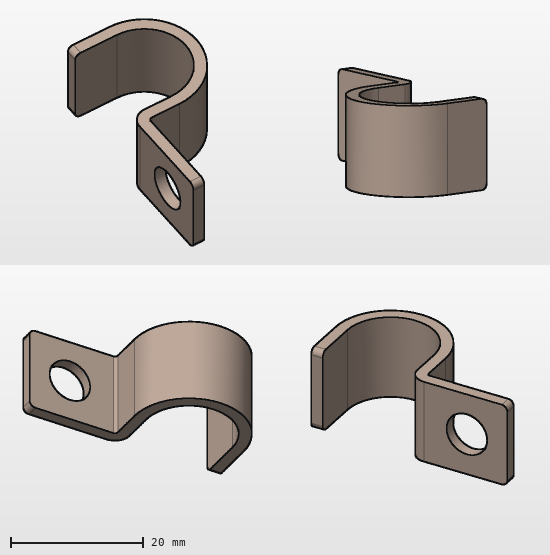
import cadquery as cq

total_length = 34.0
total_depth = 17.0
strip_width = 14.0
thickness = 2.0
arch_outer_radius = 9.5
bend_inner_radius = 0.5
corner_radius = 1.0
hole_diameter = 7.0
hole_to_flange_end = 7.0

arch_inner_radius = arch_outer_radius - thickness
bend_outer_radius = bend_inner_radius + thickness
flange_face_y = arch_outer_radius - total_depth
flange_back_y = flange_face_y + thickness
flange_end_x = total_length - arch_outer_radius
bend_center_x = arch_outer_radius + bend_inner_radius
bend_center_y = flange_back_y + bend_inner_radius
hole_x = flange_end_x - hole_to_flange_end


def bent_strip():
    """Hook-shaped strip: free leg, half-round arch, leg, bend and flange."""
    profile = (
        cq.Workplane("XY")
        .moveTo(-arch_outer_radius, flange_face_y)
        .lineTo(-arch_outer_radius, 0)
        .threePointArc((0, arch_outer_radius), (arch_outer_radius, 0))
        .lineTo(arch_outer_radius, bend_center_y)
        .radiusArc((bend_center_x, flange_back_y), -bend_inner_radius)
        .lineTo(flange_end_x, flange_back_y)
        .lineTo(flange_end_x, flange_face_y)
        .lineTo(bend_center_x, flange_face_y)
        .radiusArc((arch_inner_radius, bend_center_y), bend_outer_radius)
        .lineTo(arch_inner_radius, 0)
        .threePointArc((0, arch_inner_radius), (-arch_inner_radius, 0))
        .lineTo(-arch_inner_radius, flange_face_y)
        .close()
    )
    return profile.extrude(strip_width / 2, both=True)


def mounting_hole():
    """Cutter for the round hole through the flange along Y."""
    return (
        cq.Workplane("XZ", origin=(hole_x, flange_back_y, 0))
        .circle(hole_diameter / 2)
        .extrude(thickness)
    )


strip = bent_strip()
strip = strip.faces(">X").edges("|Y").fillet(corner_radius)
free_leg_end = strip.faces("<Y").faces("<X")
strip = free_leg_end.edges("|X").fillet(corner_radius)

result = strip.cut(mounting_hole())